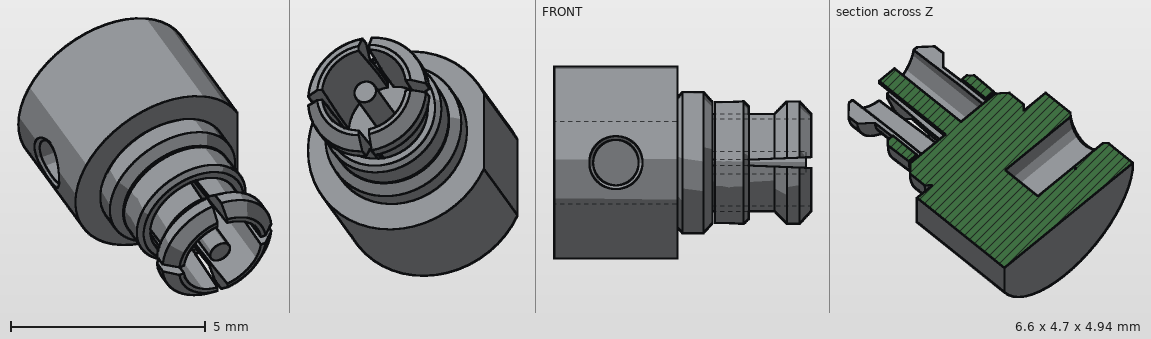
import cadquery as cq

total_length = 6.6

body_length = 3.17
body_radius = 2.47
flat_y = 2.23

hole_diameter = 1.17
hole_chamfer = 0.1
hole_depth = body_radius

collar_radius = 1.815
collar_start_radius = 1.67
collar_end_radius = 1.56
collar_chamfer_end_x = 3.295
collar_taper_start_x = 3.83
collar_end_x = 4.065

finger_radius = 1.255
head_radius = 1.58
head_start_x = 5.655
head_rim_start_x = 5.97
head_rim_end_x = 6.295
finger_wall = 0.13
bore_radius = finger_radius - finger_wall

ring_start_x = 4.125
ring_end_x = 4.995
ring_chamfer = 0.13
ring_start_radius = 1.56
ring_radius = 1.58

slot_root_width = 0.15
slot_mouth_width = 0.28

pin_radius = 0.575 / 2
pin_end_x = 6.47


def revolve_about_x(points):
    """Revolve a closed (x, radius) outline about the X axis."""
    return cq.Workplane("XY").polyline(points).close().revolve(360, (0, 0, 0), (1, 0, 0))


def make_body():
    """Round body with a flat on +Y and a chamfered blind hole from -Y."""
    body = cq.Workplane("YZ").circle(body_radius).extrude(body_length)
    hole = (
        cq.Workplane("XZ", origin=(body_length / 2, hole_depth - body_radius, 0))
        .circle(hole_diameter / 2)
        .extrude(hole_depth)
    )
    body = body.cut(hole)
    mouth_point = (body_length / 2, -body_radius, 0)
    body = body.edges(cq.selectors.NearestToPointSelector(mouth_point)).chamfer(hole_chamfer)
    side_size = 2 * body_radius
    side_cut = cq.Workplane("XY").box(
        body_length, side_size, side_size, centered=(False, False, True)
    )
    return body.cut(side_cut.translate((0, flat_y, 0)))


def make_collar():
    return revolve_about_x([
        (body_length, 0),
        (body_length, collar_start_radius),
        (collar_chamfer_end_x, collar_radius),
        (collar_taper_start_x, collar_radius),
        (collar_end_x, collar_end_radius),
        (collar_end_x, 0),
    ])


def make_slot():
    """Wedge-shaped cut through both walls, constant in width under the ring."""
    root = slot_root_width / 2
    mouth = slot_mouth_width / 2
    outline = [
        (collar_end_x, -root),
        (ring_end_x, -root),
        (total_length, -mouth),
        (total_length, mouth),
        (ring_end_x, root),
        (collar_end_x, root),
    ]
    return cq.Workplane("XZ").polyline(outline).close().extrude(head_radius, both=True)


def make_fingers():
    """Tube with a flared head, split into four spring fingers."""
    fingers = revolve_about_x([
        (collar_end_x, bore_radius),
        (collar_end_x, finger_radius),
        (head_start_x, finger_radius),
        (head_rim_start_x, head_radius),
        (head_rim_end_x, head_radius),
        (total_length, finger_radius),
        (total_length, bore_radius),
    ])
    for angle in (0, 90):
        fingers = fingers.cut(make_slot().rotate((0, 0, 0), (1, 0, 0), angle))
    return fingers


def make_ring():
    """Slightly tapered snap ring around the fingers."""
    return revolve_about_x([
        (ring_start_x, finger_radius),
        (ring_start_x, ring_start_radius),
        (ring_end_x - ring_chamfer, ring_radius),
        (ring_end_x, ring_radius - ring_chamfer),
        (ring_end_x, finger_radius),
    ])


def make_pin():
    pin_length = pin_end_x - collar_end_x
    return cq.Workplane("YZ", origin=(collar_end_x, 0, 0)).circle(pin_radius).extrude(pin_length)


result = make_body().union(make_collar()).union(make_fingers()).union(make_ring()).union(make_pin())